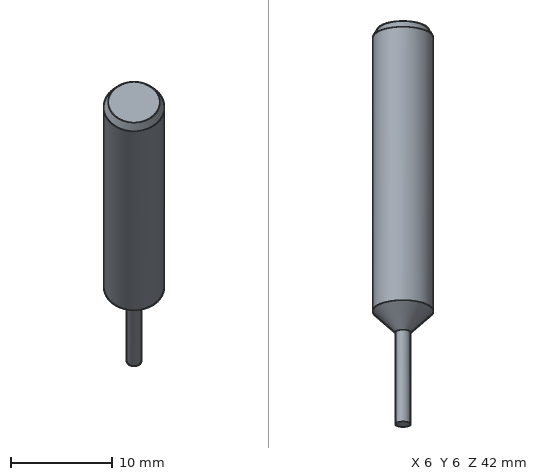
import cadquery as cq
import math

total_length = 42.0
shank_diameter = 6.0
pin_diameter = 1.5
pin_length = 10.0
chamfer_height = 0.8
chamfer_angle = 30.0
cone_angle = 45.0
point_angle = 140.0

shank_radius = shank_diameter / 2
pin_radius = pin_diameter / 2
chamfer_width = chamfer_height * math.tan(math.radians(chamfer_angle))
cone_height = (shank_radius - pin_radius) / math.tan(math.radians(cone_angle))
point_height = pin_radius / math.tan(math.radians(point_angle / 2))


def revolve_profile(points):
    """Turn a closed (radius, height) outline around the Z axis."""
    axis_start = (0, 0)
    axis_end = (0, 1)
    return cq.Workplane("XZ").polyline(points).close().revolve(360, axis_start, axis_end)


def make_shank():
    """Round shank with a chamfered top edge and a conical lower end."""
    return revolve_profile([
        (0, pin_length),
        (pin_radius, pin_length),
        (shank_radius, pin_length + cone_height),
        (shank_radius, total_length - chamfer_height),
        (shank_radius - chamfer_width, total_length),
        (0, total_length),
    ])


def make_pin():
    """Slender pin with a shallow conical point, seated against the shank cone."""
    return revolve_profile([
        (0, 0),
        (pin_radius, point_height),
        (pin_radius, pin_length),
        (0, pin_length),
    ])


shank = make_shank()
pin = make_pin()

result = cq.Compound.makeCompound([shank.val(), pin.val()])